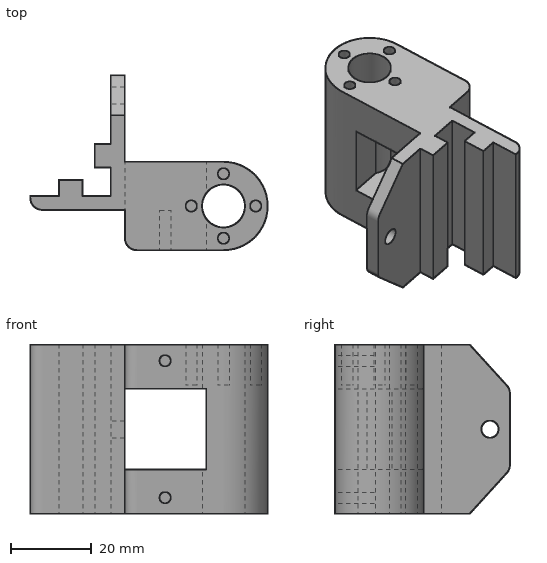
import cadquery as cq


height = 42.0
end_radius = 11.0
block_left = -24.5
corner_radius = 3.0

bore_diameter = 10.6
screw_diameter = 2.8
screw_circle_radius = 8.0
screw_depth = 10.0
screw_count = 4

window_length = 20.2
window_height = 20.0

front_screw_x = block_left + 10.0
front_screw_z = 17.0

plate_thickness = 3.5
plate_left = -48.0
plate_front = -1.0
plate_back = 32.5
inner_corner_x = block_left - plate_thickness
inner_corner_y = plate_front + plate_thickness

rib_offset = 7.0
rib_width = 5.9
rib_height = 4.0

taper_length = 10.0
taper_drop = 11.0
taper_fillet = 3.0
mount_hole_diameter = 4.2
mount_hole_inset = 5.0


def box(x_min, x_max, y_min, y_max, z_size):
    """Box between the given X and Y limits, centred on mid height."""
    return (
        cq.Workplane("XY")
        .box(x_max - x_min, y_max - y_min, z_size, centered=(False, False, True))
        .translate((x_min, y_min, 0))
    )


def make_block():
    """Round-ended block with one rounded front corner."""
    return (
        cq.Workplane("XY", origin=(0, 0, -height / 2))
        .moveTo(0, end_radius)
        .lineTo(block_left, end_radius)
        .lineTo(block_left, -end_radius + corner_radius)
        .radiusArc((block_left + corner_radius, -end_radius), -corner_radius)
        .lineTo(0, -end_radius)
        .threePointArc((end_radius, 0), (0, end_radius))
        .close()
        .extrude(height)
    )


def make_side_plate():
    """Plate running along X, rounded at the front of its free end."""
    plate = box(plate_left, block_left, plate_front, inner_corner_y, height)
    return plate.edges("|Z and (<X and <Y)").fillet(corner_radius)


def make_tapered_plate():
    """Plate running along Y, tapered towards its free end."""
    half_height = height / 2
    taper_start = plate_back - taper_length
    tip_half_height = half_height - taper_drop
    plate = (
        cq.Workplane("YZ", origin=(inner_corner_x, 0, 0))
        .moveTo(plate_front, -half_height)
        .lineTo(taper_start, -half_height)
        .lineTo(plate_back, -tip_half_height)
        .lineTo(plate_back, tip_half_height)
        .lineTo(taper_start, half_height)
        .lineTo(plate_front, half_height)
        .close()
        .extrude(plate_thickness)
    )
    plate = plate.edges("|X and >Y").fillet(taper_fillet)
    mount_hole = (
        cq.Workplane("YZ", origin=(inner_corner_x, plate_back - mount_hole_inset, 0))
        .circle(mount_hole_diameter / 2)
        .extrude(plate_thickness)
    )
    return plate.cut(mount_hole)


def make_ribs():
    """Full-height ribs at equal distances from the inside corner."""
    side_rib_right = inner_corner_x - rib_offset
    side_rib = box(
        side_rib_right - rib_width, side_rib_right,
        inner_corner_y, inner_corner_y + rib_height, height,
    )
    tapered_rib_front = inner_corner_y + rib_offset
    tapered_rib = box(
        inner_corner_x - rib_height, inner_corner_x,
        tapered_rib_front, tapered_rib_front + rib_width, height,
    )
    return side_rib.union(tapered_rib)


def make_window():
    """Rectangular opening through the full depth of the block."""
    return box(block_left, block_left + window_length, -end_radius, end_radius, window_height)


def make_bore():
    return cq.Workplane("XY").circle(bore_diameter / 2).extrude(height / 2, both=True)


def make_top_screw_holes():
    return (
        cq.Workplane("XY", origin=(0, 0, height / 2))
        .polarArray(screw_circle_radius, 0, 360, screw_count)
        .circle(screw_diameter / 2)
        .extrude(-screw_depth)
    )


def make_front_screw_holes():
    return (
        cq.Workplane("XZ", origin=(0, -end_radius, 0))
        .pushPoints([(front_screw_x, front_screw_z), (front_screw_x, -front_screw_z)])
        .circle(screw_diameter / 2)
        .extrude(-screw_depth)
    )


body = make_block().union(make_side_plate()).union(make_tapered_plate()).union(make_ribs())
result = (
    body.cut(make_window())
    .cut(make_bore())
    .cut(make_top_screw_holes())
    .cut(make_front_screw_holes())
)